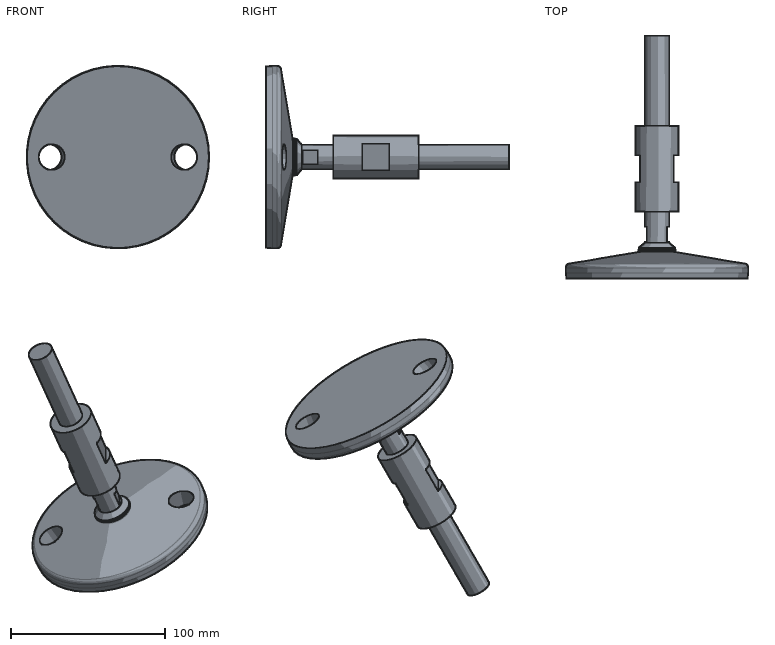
import cadquery as cq
import math


base_diameter = 118.0
base_bottom_diameter = 117.3
rim_draft_height = 4.0
rim_top_y = 7.0
base_top_y = 17.3
base_top_diameter = 23.5
shoulder_y = 9.7
shoulder_diameter = 114.0

hole_diameter = 16.5
hole_offset = 42.7
hole_reach = 31.4

overall_length = 157
shaft_diameter = 16.0
neck_diameter = 22
flange_diameter = 23.7
lip_diameter = 24.3
lip_bottom_y = 18.4
lip_top_y = 18.8
flange_top_y = 20.0
flange_cone_top_y = 23.1
shaft_flat_start_y = 23.9
shaft_flat_end_y = 33.5
shaft_across_flats = 13.2

collar_diameter = 28.0
collar_start_y = 43.3
collar_end_y = 98.6
collar_flat_start_y = 62.3
collar_flat_end_y = 79.6
collar_across_flats = 22


def revolve_about_y(profile):
    """Turn a closed radius/height profile into a solid about the Y axis."""
    return profile.close().revolve(360, (0, 0, 0), (0, 1, 0))


def flat_cutters(start_y, end_y, across_flats, diameter):
    """Two blocks that leave parallel flats facing -X and +X on a round bar."""
    length = end_y - start_y
    blocks = cq.Workplane("XY")
    for side in (-1, 1):
        center_x = side * (across_flats + diameter) / 2
        block = cq.Workplane("XY").box(diameter, length, 2 * diameter)
        blocks = blocks.add(block.translate((center_x, start_y + length / 2, 0)))
    return blocks.combine()


def hole_cutter(side):
    """Cylinder for one mounting hole, leaning outward with the cone's normal."""
    cone_rise = base_top_y - shoulder_y
    cone_run = (shoulder_diameter - base_top_diameter) / 2
    tilt = math.atan2(cone_rise, cone_run)
    axis = cq.Vector(side * math.sin(tilt), math.cos(tilt), 0)
    start = cq.Vector(side * hole_offset, 0, 0) - axis * hole_reach
    return cq.Solid.makeCylinder(hole_diameter / 2, 2 * hole_reach, start, axis)


def make_base():
    """Conical foot plate with a drafted lower rim and a rounded shoulder."""
    rim_radius = base_diameter / 2
    profile = (
        cq.Workplane("XY")
        .lineTo(base_bottom_diameter / 2, 0)
        .lineTo(rim_radius, rim_draft_height)
        .lineTo(rim_radius, rim_top_y)
        .tangentArcPoint((shoulder_diameter / 2, shoulder_y), relative=False)
        .lineTo(base_top_diameter / 2, base_top_y)
        .lineTo(0, base_top_y)
    )
    base = revolve_about_y(profile)
    for side in (-1, 1):
        base = base.cut(cq.Workplane(obj=hole_cutter(side)))
    return base.solids()


def make_spindle():
    """Shaft with its collar, conical flange, thin lip and tapered neck resting on the base."""
    profile = (
        cq.Workplane("XY")
        .moveTo(0, base_top_y)
        .lineTo(neck_diameter / 2, base_top_y)
        .lineTo(lip_diameter / 2, lip_bottom_y)
        .lineTo(flange_diameter / 2, lip_top_y)
        .lineTo(flange_diameter / 2, flange_top_y)
        .lineTo(shaft_diameter / 2, flange_cone_top_y)
        .lineTo(shaft_diameter / 2, collar_start_y)
        .lineTo(collar_diameter / 2, collar_start_y)
        .lineTo(collar_diameter / 2, collar_end_y)
        .lineTo(shaft_diameter / 2, collar_end_y)
        .lineTo(shaft_diameter / 2, overall_length)
        .lineTo(0, overall_length)
    )
    spindle = revolve_about_y(profile)
    shaft_flats = flat_cutters(shaft_flat_start_y, shaft_flat_end_y, shaft_across_flats, shaft_diameter)
    collar_flats = flat_cutters(collar_flat_start_y, collar_flat_end_y, collar_across_flats, collar_diameter)
    return spindle.cut(shaft_flats).cut(collar_flats).solids()


base = make_base()
spindle = make_spindle()
result = cq.Compound.makeCompound([base.val(), spindle.val()])